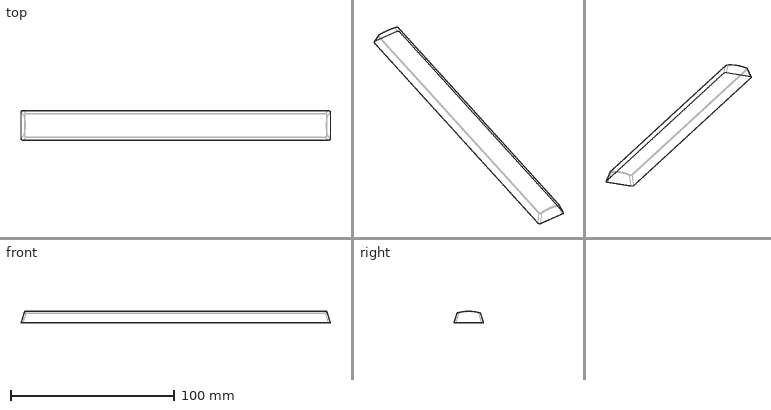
import cadquery as cq
import math

length = 189.75
width = 18.3
height = 7.2

draft_angle = 17.6
corner_radius = 1.3

crown_rise = 1.1
rim_fillet = 0.5

half_width = width / 2
shoulder_height = height - crown_rise
shoulder_half_width = half_width - shoulder_height * math.tan(math.radians(draft_angle))
crown_radius = (shoulder_half_width**2 + crown_rise**2) / (2 * crown_rise)


def tapered_body():
    """Solid block with leaning walls and rounded corners."""
    block = cq.Workplane("XY").rect(length, width).extrude(height, taper=draft_angle)
    sloped_corners = block.edges("not(|X or |Y)")
    return sloped_corners.fillet(corner_radius)


def crown_envelope():
    """Full-length prism with upright sides and the crown arc carried out to the full width."""
    crown_centre_height = height - crown_radius
    side_height = crown_centre_height + math.sqrt(crown_radius**2 - half_width**2)
    return (
        cq.Workplane("YZ")
        .moveTo(-half_width, 0)
        .lineTo(-half_width, side_height)
        .threePointArc((0, height), (half_width, side_height))
        .lineTo(half_width, 0)
        .close()
        .extrude(length / 2, both=True)
    )


def soften_rim(body):
    """Round the edge all around the crowned top."""
    return body.faces(">Z").edges().fillet(rim_fillet)


result = soften_rim(tapered_body().intersect(crown_envelope()))